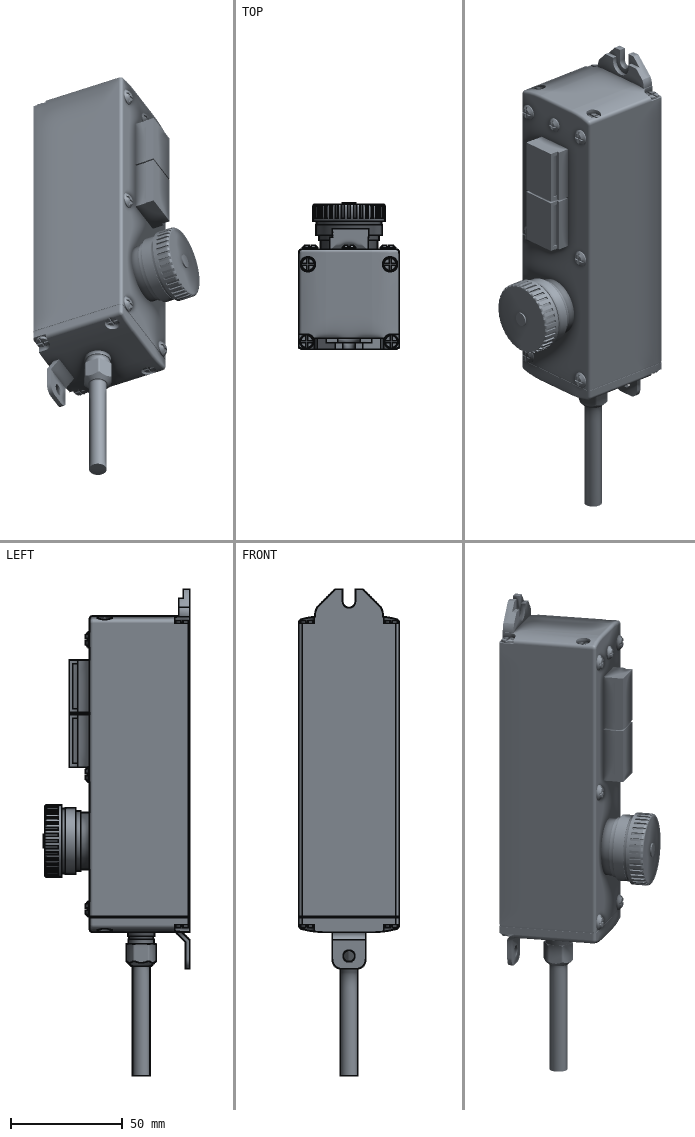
import cadquery as cq
import math


width = 45.0
depth = 44.9
height = 141.7
overall_height = 217.9
crown_flat_half = 10.2
crown_end_half = 21.3
crown_drop = 1.5
shoulder_drop = 3.3
front_round = 1.5
back_chamfer_x = 1.5
back_chamfer_y = 0.75
gasket_z = 6.5
gasket_height = 0.7
gasket_depth = 0.15

pocket_radius = 3.3
pocket_floor_drop = shoulder_drop
front_pocket_x = 18.4
front_pocket_y = 38.1
back_pocket_x = 18.9
back_pocket_y = 3.5
cap_screw_diameter = 6.0
cap_screw_height = 1.2
cap_screw_chamfer = 0.2

front_screw_x = 17.4
front_screw_rows = (10.4, 70.7, 131.0)
front_screw_diameter = 7.0
front_screw_height = 1.8
front_screw_chamfer = 1.3
center_screw_diameter = 6.2

cross_width = 0.9
cross_depth = 0.7
overlap = 1.0

lug_half_width = 15.3
lug_tip_half_width = 6.2
lug_shoulder_half_width = 14.3
lug_top = height + 11.9
lug_shoulder = lug_top - (lug_shoulder_half_width - lug_tip_half_width)
lug_thickness = 3.0
lug_pad_thickness = 5.0
lug_pad_top = lug_top - 4.0
lug_slot_width = 5.6
lug_slot_center_z = lug_top - 5.4
lug_relief_radius = 5.2

tab_width = 15.0
tab_thickness = 2.0
tab_bend_angle = 45.0
tab_bend_z = -3.4
tab_bottom = -16.4
tab_corner = 4.2
tab_hole_diameter = 5.2
tab_hole_z = -10.6

cable_y = 21.75
cable_diameter = 7.9
cable_bottom = lug_top - overall_height
gland_collar_diameter = 12.0
gland_collar_height = 1.8
gland_neck_diameter = 11.0
gland_ring_diameter = 11.7
gland_ring_top = -3.1
gland_nut_sides = 6
gland_nut_corners = 13.9
gland_nut_round = 1.0
gland_nut_chamfer = 0.4
gland_nut_top = -5.1
gland_nut_bottom = -12.7
gland_tip_diameter = 9.0
gland_bottom = -15.1

button_z = 40.9
button_front = 65.0
button_diameter = 32.4
button_edge = 1.2
button_rim_y = 58.8
button_back = 57.3
undercut_diameter = 29.2
undercut_back = 55.7
collar_diameter = 29.8
collar_back = 51.0
step_diameter = 27.0
step_back = 48.8
neck_diameter = 25.6
dot_diameter = 6.2
dot_front = 65.6
groove_count = 36
groove_width = 1.2
groove_depth = 0.8

keys_top = 122.0
keys_bottom = 73.9
key_gap = 0.8
key_base_front = 50.2
key_front = 54.0
key_base_half_width = 8.7
key_face_left = -7.4
key_face_right = 8.9
key_grip_front = 52.4
key_grip_depth = 0.5
key_grip_inset_z = 1.7


def on_xz(y):
    """Upright work plane at the given Y; local axes are X and Z, and negative extrusions run toward +Y."""
    return cq.Workplane("XZ", origin=(0, y, 0))


def disc(x, z, diameter, y_from, y_to):
    """Cylinder along Y."""
    plane = cq.Workplane("XZ", origin=(x, y_from, z))
    return plane.circle(diameter / 2).extrude(y_from - y_to)


def make_housing():
    half = width / 2
    low, high = 0.0, height
    sag = crown_drop / 4
    mid = (crown_flat_half + crown_end_half) / 2
    run = half - crown_end_half
    rise = shoulder_drop - crown_drop
    shoulder_radius = (run**2 + rise**2) / (2 * run)
    half_sweep = math.asin(rise / shoulder_radius) / 2
    edge_x = half - shoulder_radius * (1 - math.cos(half_sweep))
    edge_drop = shoulder_drop - shoulder_radius * math.sin(half_sweep)
    profile = (
        cq.Workplane("XZ")
        .moveTo(-crown_flat_half, high)
        .lineTo(crown_flat_half, high)
        .threePointArc((mid, high - sag), (crown_end_half, high - crown_drop))
        .threePointArc((edge_x, high - edge_drop), (half, high - shoulder_drop))
        .lineTo(half, low + shoulder_drop)
        .threePointArc((edge_x, low + edge_drop), (crown_end_half, low + crown_drop))
        .threePointArc((mid, low + sag), (crown_flat_half, low))
        .lineTo(-crown_flat_half, low)
        .threePointArc((-mid, low + sag), (-crown_end_half, low + crown_drop))
        .threePointArc((-edge_x, low + edge_drop), (-half, low + shoulder_drop))
        .lineTo(-half, high - shoulder_drop)
        .threePointArc((-edge_x, high - edge_drop), (-crown_end_half, high - crown_drop))
        .threePointArc((-mid, high - sag), (-crown_flat_half, high))
        .close()
    )
    block = profile.extrude(-depth)
    section = housing_section(0).extrude(height)
    rounded_front = block.faces(">Y").edges().fillet(front_round)
    return rounded_front.intersect(section)


def housing_section(inset):
    """Cross-section with chamfered back corners, shrunk by the inset on every side."""
    half = width / 2 - inset
    return (
        cq.Workplane("XY")
        .moveTo(-half + back_chamfer_x, inset)
        .lineTo(half - back_chamfer_x, inset)
        .lineTo(half, inset + back_chamfer_y)
        .lineTo(half, depth - inset)
        .lineTo(-half, depth - inset)
        .lineTo(-half, inset + back_chamfer_y)
        .close()
    )


def make_gasket_groove():
    around = cq.Workplane("XY").rect(2 * width, 4 * depth).extrude(gasket_height)
    core = housing_section(gasket_depth).extrude(gasket_height)
    return around.cut(core).translate((0, 0, gasket_z))


def screw_head(diameter, head_height, chamfer):
    """Chamfered head along +Z with a cross slot, its shank end sunk by the overlap."""
    head = cq.Workplane("XY").workplane(offset=-overlap).circle(diameter / 2)
    head = head.extrude(overlap + head_height).faces(">Z").chamfer(chamfer)
    slot = cq.Workplane("XY").workplane(offset=head_height - cross_depth)
    for length, breadth in ((diameter, cross_width), (cross_width, diameter)):
        head = head.cut(slot.rect(length, breadth).extrude(cross_depth))
    return head


def add_front_screws(part):
    large = screw_head(front_screw_diameter, front_screw_height, front_screw_chamfer)
    small = screw_head(center_screw_diameter, front_screw_height, front_screw_chamfer)
    large = large.rotate((0, 0, 0), (1, 0, 0), -90)
    small = small.rotate((0, 0, 0), (1, 0, 0), -90)
    for z in front_screw_rows:
        for x in (-front_screw_x, front_screw_x):
            part = part.union(large.translate((x, depth, z)))
    return part.union(small.translate((0, depth, max(front_screw_rows))))


def corner_pockets():
    """The four pockets of the top cap, with the back pair open to the back and the sides."""
    floor_z = height - pocket_floor_drop
    pocket_height = 2 * pocket_floor_drop
    inner_x = back_pocket_x - pocket_radius
    deep_y = back_pocket_y + pocket_radius
    front = cq.Workplane("XY", origin=(front_pocket_x, front_pocket_y, floor_z))
    front = front.circle(pocket_radius).extrude(pocket_height)
    back = cq.Workplane("XY", origin=(inner_x, deep_y, floor_z))
    back = back.rect(width, -2 * deep_y, centered=False).extrude(pocket_height)
    back = back.edges("|Z and <X and >Y").fillet(pocket_radius)
    right_pair = front.union(back)
    return right_pair.union(right_pair.mirror("YZ"))


def cap_screws():
    head = screw_head(cap_screw_diameter, cap_screw_height, cap_screw_chamfer)
    floor_z = height - pocket_floor_drop
    screws = cq.Workplane("XY")
    for side in (-1, 1):
        screws = screws.union(head.translate((side * front_pocket_x, front_pocket_y, floor_z)))
        screws = screws.union(head.translate((side * back_pocket_x, back_pocket_y, floor_z)))
    return screws


def mirror_to_bottom(shape):
    return shape.mirror("XY", (0, 0, height / 2))


def make_lug():
    base = height - pocket_floor_drop - overlap
    run = lug_half_width - lug_shoulder_half_width
    rise = lug_shoulder - height
    side_radius = (run**2 + rise**2) / (2 * run)
    half_sweep = math.asin(rise / side_radius) / 2
    side_x = lug_half_width - side_radius * (1 - math.cos(half_sweep))
    side_z = height + side_radius * math.sin(half_sweep)
    outline = (
        cq.Workplane("XZ")
        .moveTo(-lug_half_width, base)
        .lineTo(lug_half_width, base)
        .lineTo(lug_half_width, height)
        .threePointArc((side_x, side_z), (lug_shoulder_half_width, lug_shoulder))
        .lineTo(lug_tip_half_width, lug_top)
        .lineTo(-lug_tip_half_width, lug_top)
        .lineTo(-lug_shoulder_half_width, lug_shoulder)
        .threePointArc((-side_x, side_z), (-lug_half_width, height))
        .close()
    )
    lug = outline.extrude(-lug_pad_thickness)
    above_pad = (
        on_xz(lug_thickness)
        .center(0, (lug_pad_top + lug_top) / 2)
        .rect(width, lug_top - lug_pad_top)
        .extrude(-lug_pad_thickness)
    )
    relief = disc(0, lug_slot_center_z, 2 * lug_relief_radius, lug_thickness, 2 * lug_pad_thickness)
    slot = disc(0, lug_slot_center_z, lug_slot_width, -overlap, 2 * lug_pad_thickness)
    mouth = (
        on_xz(0)
        .center(0, (lug_slot_center_z + lug_top) / 2)
        .rect(lug_slot_width, lug_top - lug_slot_center_z)
        .extrude(-2 * lug_pad_thickness)
    )
    return lug.cut(above_pad).cut(relief).cut(slot).cut(mouth)


def make_tab():
    rise = overlap - tab_bend_z
    lean = rise * math.tan(math.radians(tab_bend_angle))
    sheet_at_slant = tab_thickness / math.cos(math.radians(tab_bend_angle))
    bend_shift = tab_thickness * math.tan(math.radians(tab_bend_angle / 2))
    side = (
        cq.Workplane("YZ")
        .moveTo(0, tab_bottom)
        .lineTo(tab_thickness, tab_bottom)
        .lineTo(tab_thickness, tab_bend_z - bend_shift)
        .lineTo(lean + sheet_at_slant, overlap)
        .lineTo(lean, overlap)
        .lineTo(0, tab_bend_z)
        .close()
    )
    tab = side.extrude(tab_width / 2, both=True)
    tab = tab.faces("<Z").edges("|Y").fillet(tab_corner)
    return tab.cut(disc(0, tab_hole_z, tab_hole_diameter, -overlap, 2 * tab_thickness))


def make_cable_and_gland():
    def rod(diameter, z_from, z_to):
        plane = cq.Workplane("XY", origin=(0, cable_y, z_from))
        return plane.circle(diameter / 2).extrude(z_to - z_from)

    nut_plane = cq.Workplane("XY", origin=(0, cable_y, gland_bottom))
    nut = nut_plane.polygon(gland_nut_sides, gland_nut_corners).extrude(gland_nut_top - gland_bottom)
    nut = nut.edges("|Z").fillet(gland_nut_round)
    nut = nut.rotate((0, cable_y, 0), (0, cable_y, 1), 90)
    taper_plane = cq.Workplane("XY", origin=(0, cable_y, gland_bottom)).circle(gland_tip_diameter / 2)
    taper = taper_plane.workplane(offset=gland_nut_bottom - gland_bottom)
    taper = taper.circle(gland_nut_corners / 2).loft(ruled=True)
    envelope = taper.union(rod(gland_nut_corners, gland_nut_bottom, gland_nut_top))
    envelope = envelope.faces(">Z").chamfer(gland_nut_chamfer)
    return (
        nut.intersect(envelope)
        .union(rod(gland_collar_diameter, -gland_collar_height, overlap))
        .union(rod(gland_neck_diameter, gland_nut_top - overlap, overlap))
        .union(rod(gland_ring_diameter, gland_nut_top - overlap, gland_ring_top))
        .union(rod(cable_diameter, cable_bottom, overlap))
    )


def make_button():
    head = disc(0, button_z, button_diameter, button_rim_y, button_front)
    head = head.faces(">Y").edges().fillet(button_edge)
    groove_length = button_front - button_rim_y
    groove = (
        cq.Workplane("XY")
        .box(groove_width, groove_length, 2 * groove_depth)
        .translate((0, button_rim_y + groove_length / 2, button_z + button_diameter / 2))
    )
    for index in range(groove_count):
        angle = 360.0 * index / groove_count
        head = head.cut(groove.rotate((0, 0, button_z), (0, 1, button_z), angle))
    return (
        head.union(disc(0, button_z, button_diameter, button_back, button_rim_y))
        .union(disc(0, button_z, undercut_diameter, undercut_back, button_back))
        .union(disc(0, button_z, collar_diameter, collar_back, undercut_back))
        .union(disc(0, button_z, step_diameter, step_back, collar_back))
        .union(disc(0, button_z, neck_diameter, depth - overlap, step_back))
        .union(disc(0, button_z, dot_diameter, button_front - overlap, dot_front))
    )


def make_keys():
    key_height = (keys_top - keys_bottom - key_gap) / 2
    base_depth = key_base_front - depth + overlap
    base = cq.Workplane("XY").box(2 * key_base_half_width, base_depth, key_height)
    base = base.translate((0, depth - overlap + base_depth / 2, 0))
    face_depth = key_front - key_base_front
    face_corner = (key_face_left, key_base_front, -key_height / 2)
    face_size = (key_face_right - key_face_left, face_depth, key_height)
    face = cq.Workplane("XY", origin=face_corner).box(*face_size, centered=False)
    grip_corner = (key_face_left, key_base_front, key_grip_inset_z - key_height / 2)
    grip_size = (key_grip_depth, key_grip_front - key_base_front, key_height - 2 * key_grip_inset_z)
    grip = cq.Workplane("XY", origin=grip_corner).box(*grip_size, centered=False)
    key = base.union(face).cut(grip)
    lower = key.translate((0, 0, keys_bottom + key_height / 2))
    upper = key.translate((0, 0, keys_top - key_height / 2))
    return lower.union(upper)


body = make_housing().cut(make_gasket_groove())
pockets = corner_pockets()
body = body.cut(pockets).cut(mirror_to_bottom(pockets))
screws = cap_screws()
body = body.union(screws).union(mirror_to_bottom(screws))
body = add_front_screws(body)
for piece in (make_lug(), make_tab(), make_cable_and_gland(), make_button(), make_keys()):
    body = body.union(piece)
result = body